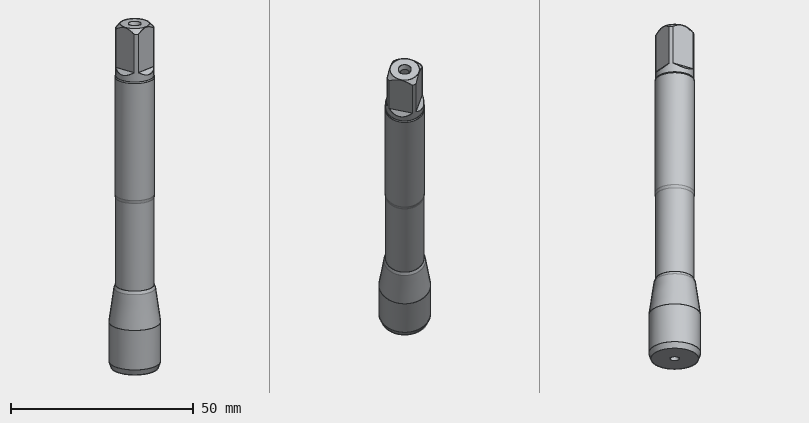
import cadquery as cq
import math

length = 100.0

head_diameter = 14.2
head_height = 13.2
lead_diameter = 13.0
lead_height = 1.7

flare_top_diameter = 11.4
flare_top_z = 23.1
neck_diameter = 10.6
neck_bottom_z = 24.0
neck_top_z = 49.5

shank_diameter = 10.9
shank_bottom_z = 50.4
shank_top_z = 84.9
shank_chamfer_height = 0.4

drive_diameter = 10.5
drive_width = 8.2
drive_flat_length = 12.4
drive_tip_diameter = 8.0

hole_diameter = 2.5
countersink_diameter = 3.5
countersink_angle = 40.0


def revolve_profile(points):
    """Revolve (radius, z) points about the Z axis."""
    return cq.Workplane("XZ").polyline(points).close().revolve(360, (0, 0), (0, 1))


def make_head():
    """Threading head with a tapered lead and a through hole."""
    hole_radius = hole_diameter / 2
    return revolve_profile([
        (hole_radius, 0),
        (lead_diameter / 2, 0),
        (head_diameter / 2, lead_height),
        (head_diameter / 2, head_height),
        (hole_radius, head_height),
    ])


def make_round_shank():
    """Flare, neck, shank and round drive end, before the flats are cut."""
    hole_radius = hole_diameter / 2
    drive_radius = drive_diameter / 2
    shank_radius = shank_diameter / 2
    tip_chamfer = (drive_diameter - drive_tip_diameter) / 2
    countersink_radius = countersink_diameter / 2
    countersink_depth = (countersink_radius - hole_radius) / math.tan(math.radians(countersink_angle / 2))
    return revolve_profile([
        (hole_radius, head_height),
        (head_diameter / 2, head_height),
        (flare_top_diameter / 2, flare_top_z),
        (neck_diameter / 2, neck_bottom_z),
        (neck_diameter / 2, neck_top_z),
        (shank_radius, shank_bottom_z),
        (shank_radius, shank_top_z - shank_chamfer_height),
        (drive_radius, shank_top_z),
        (drive_radius, length - tip_chamfer),
        (drive_tip_diameter / 2, length),
        (countersink_radius, length),
        (hole_radius, length - countersink_depth),
    ])


def make_flat_cutter():
    """Cutter for the +X flat, which runs out at 45 degrees at its lower end."""
    flat_x = drive_width / 2
    flat_bottom_z = length - drive_flat_length
    runout = shank_diameter / 2 - flat_x
    outer_x = flat_x + runout
    return (
        cq.Workplane("XZ")
        .polyline([
            (flat_x, flat_bottom_z),
            (outer_x, flat_bottom_z - runout),
            (outer_x, length),
            (flat_x, length),
        ])
        .close()
        .extrude(shank_diameter / 2, both=True)
    )


def make_shank():
    """Shank with four drive flats around its axis."""
    flat_count = 4
    shank = make_round_shank()
    cutter = make_flat_cutter()
    for index in range(flat_count):
        angle = index * 360 / flat_count
        shank = shank.cut(cutter.rotate((0, 0, 0), (0, 0, 1), angle))
    return shank


head = make_head()
shank = make_shank()

result = cq.Compound.makeCompound([head.val(), shank.val()])